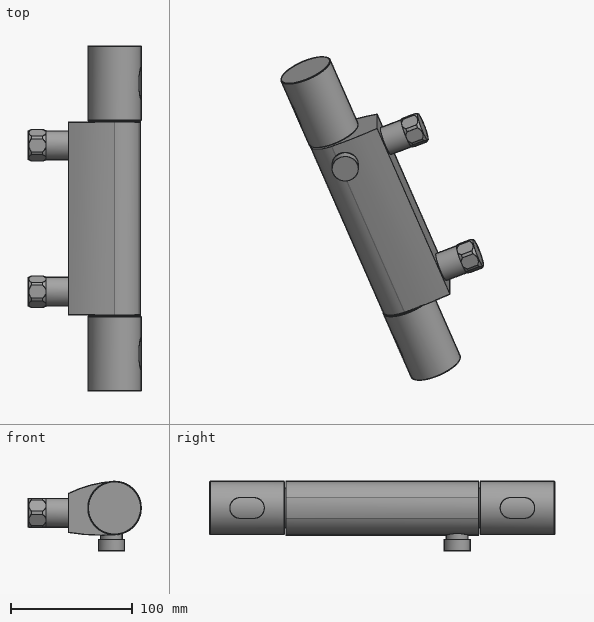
import cadquery as cq
import math

total_length = 283.2
bar_diameter = 44.0
bar_radius = bar_diameter / 2

housing_length = 158.0
back_x = -38.0
back_top_z = 12.0
back_bottom_z = -20.0
crown_x = -19.0
crown_z = 19.0
belly_x = -12.7
belly_z = -22.5
belly_end_angle = -84.0
front_x = 21.5
front_strip_width = 17.0

neck_length = 1.0
neck_diameter = 32.9
handle_length = (total_length - housing_length) / 2 - neck_length
handle_chamfer = 0.5

button_length = 28.3
button_width = 17.0
button_seat_x = 17.5

connection_spacing = 120.0
connection_z = -4.0
sleeve_diameter = 23.8
sleeve_length = 18.5
nut_length = 14.5
nut_across_flats = 23.8
nut_corner_diameter = 26.0
nut_outer_end_diameter = 23.2
nut_inner_end_diameter = 24.0
nut_outer_chamfer = 2.5
nut_inner_chamfer = 2.5

outlet_x = -2.5
outlet_y = 61.5
outlet_neck_diameter = 18.0
outlet_end_diameter = 21.5
outlet_bottom_z = -35.0
outlet_end_length = 9.3
outlet_neck_length = -outlet_bottom_z - outlet_end_length + back_bottom_z

SIDES = (-1, 1)
NUT_TURN = 30


def on_bar(angle):
    """Point (x, z) of the bar circle at an angle in degrees from +X toward +Z."""
    turn = math.radians(angle)
    return bar_radius * math.cos(turn), bar_radius * math.sin(turn)


def y_cylinder(diameter, y_start, length):
    """Cylinder on the bar axis from y_start toward +Y."""
    return cq.Workplane("XZ", origin=(0, y_start, 0)).circle(diameter / 2).extrude(-length)


def make_housing():
    """Constant profile in X and Z, extruded along the bar."""
    top = 90
    seam = math.degrees(math.asin(front_strip_width / 2 / bar_radius))
    return (
        cq.Workplane("XZ", origin=(0, housing_length / 2, 0))
        .moveTo(back_x, back_bottom_z)
        .lineTo(back_x, back_top_z)
        .threePointArc((crown_x, crown_z), on_bar(top))
        .threePointArc(on_bar((top + seam) / 2), on_bar(seam))
        .threePointArc((front_x, 0), on_bar(-seam))
        .threePointArc(on_bar((belly_end_angle - seam) / 2), on_bar(belly_end_angle))
        .threePointArc((belly_x, belly_z), (back_x, back_bottom_z))
        .close()
        .extrude(housing_length)
    )


def make_plain_handle(side):
    """Handle with its neck, before the button recess is cut."""
    neck_start = housing_length / 2
    handle_start = neck_start + neck_length
    grip = y_cylinder(bar_diameter, handle_start, handle_length)
    grip = grip.faces("<Y or >Y").chamfer(handle_chamfer)
    handle = grip.union(y_cylinder(neck_diameter, neck_start, neck_length))
    return handle if side > 0 else handle.mirror("XZ")


def make_button_column(side):
    """Slot-shaped column along X that cuts the button outline out of a handle."""
    centre_y = side * (total_length - handle_length) / 2
    return (
        cq.Workplane("YZ", origin=(button_seat_x, centre_y, 0))
        .slot2D(button_length, button_width)
        .extrude(bar_radius)
    )


def make_handle(side):
    """Handle with the recess for its button."""
    return make_plain_handle(side).cut(make_button_column(side))


def make_button(side):
    """Button that fills the recess, flush with the handle."""
    return make_plain_handle(side).intersect(make_button_column(side))


def make_sleeve(y):
    """Round sleeve standing on the back of the housing."""
    return (
        cq.Workplane("YZ", origin=(back_x, y, connection_z))
        .circle(sleeve_diameter / 2)
        .extrude(-sleeve_length)
    )


def make_nut(y):
    """Hexagon nut with its corners turned off and both ends chamfered."""
    inner_x = back_x - sleeve_length
    hexagon = (
        cq.Workplane("YZ", origin=(inner_x, y, connection_z))
        .polygon(6, nut_across_flats, circumscribed=True)
        .extrude(-nut_length)
        .rotate((inner_x, y, connection_z), (inner_x + 2.8, y, connection_z), NUT_TURN)
    )
    corner_radius = nut_corner_diameter / 2
    turned = (
        cq.Workplane("XY", origin=(inner_x, y, connection_z))
        .moveTo(0, 0)
        .lineTo(0, nut_inner_end_diameter / 2)
        .lineTo(-nut_inner_chamfer, corner_radius)
        .lineTo(-nut_length + nut_outer_chamfer, corner_radius)
        .lineTo(-nut_length, nut_outer_end_diameter / 2)
        .lineTo(-nut_length, 0)
        .close()
        .revolve(360, (0, 0, 0), (1, 0, 0))
    )
    return hexagon.intersect(turned)


def make_outlet(housing):
    """Outlet whose neck ends on the curved belly of the housing."""
    outlet = (
        cq.Workplane("XY", origin=(outlet_x, outlet_y, outlet_bottom_z))
        .circle(outlet_end_diameter / 2)
        .extrude(outlet_end_length)
        .faces(">Z")
        .workplane()
        .circle(outlet_neck_diameter / 2)
        .extrude(outlet_neck_length)
    )
    return outlet.cut(housing)


housing = make_housing()
outlet = make_outlet(housing)
handles = [make_handle(side) for side in SIDES]
buttons = [make_button(side) for side in SIDES]
sleeves = [make_sleeve(side * connection_spacing / 2) for side in SIDES]
nuts = [make_nut(side * connection_spacing / 2) for side in SIDES]

bodies = [housing, outlet, *handles, *buttons, *sleeves, *nuts]
result = cq.Compound.makeCompound([body.solids().val() for body in bodies])